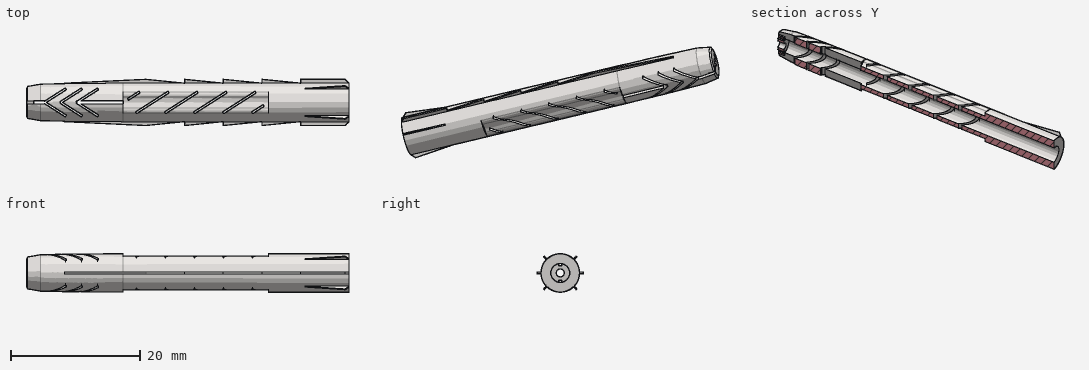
import cadquery as cq
import math


LENGTH = 50.0
BODY_RADIUS = 3.0
FACE_RADIUS = 4.2 / 2
RIM_X, RIM_RADIUS = 0.2, 2.5
NOSE_X, NOSE_RADIUS = 2.2, 2.85
FRONT_X = 15.0

PILOT_RADIUS = 1.2 / 2
BORE_X, BORE_RADIUS = 1.15, 1.45

RECESS_START, RECESS_END = FRONT_X, 37.5
GROOVE_RADIUS = 1.95
LIP_RADIUS = 0.8
RECESS_HALF_WIDTH = 1.6

CUT_WIDTH = 0.3
CUT_ANGLE = 32.5
SLOT_WIDTH = 0.45
SLOT_FLOOR = 1.9
WINDOW_FLOOR = 1.15
FACE_NOTCH_DEPTH = 0.1
CHEVRON_TIPS = (2.8, 5.3, 7.8)
CHEVRON_HALF_SPAN = 2.1
DIAGONAL_PITCH = 4.5
DIAGONAL_HALF_SPAN = 1.6
FULL_DIAGONALS = 4
DIAGONAL_END_GAP = 0.75

FIN_RADIUS = 3.6
FIN_THICKNESS = 0.3
FIN_ROOT = 2.5
FIN_START = 5.9
TOOTH_PITCH = 6.0
TOOTH_COUNT = 4
LAST_TOOTH_END = 42.5
FIN_CHAMFER = FIN_RADIUS - BODY_RADIUS
CORNER_FIN_START = 43.15
CORNER_FIN_THICKNESS = 0.2
CORNER_FIN_ANGLES = (45, 135, 225, 315)

CLEARANCE = 0.5
THROUGH_HEIGHT = 2 * (BODY_RADIUS + CLEARANCE)


def revolve_about_x(profile):
    return profile.close().revolve(360, (0, 0, 0), (1, 0, 0))


def make_body():
    """Solid plug whose rounded front blends into a plain cylinder."""
    profile = (
        cq.Workplane("XY")
        .lineTo(0, FACE_RADIUS)
        .lineTo(RIM_X, RIM_RADIUS)
        .lineTo(NOSE_X, NOSE_RADIUS)
    )
    run = FRONT_X - NOSE_X
    rise = BODY_RADIUS - NOSE_RADIUS
    radius = (run**2 + rise**2) / (2 * rise)
    middle_rise = radius - math.sqrt(radius**2 - (run / 2) ** 2)
    profile = (
        profile.threePointArc((FRONT_X - run / 2, BODY_RADIUS - middle_rise), (FRONT_X, BODY_RADIUS))
        .lineTo(LENGTH, BODY_RADIUS)
        .lineTo(LENGTH, 0)
    )
    return revolve_about_x(profile)


def make_bore():
    """Pilot hole and wider screw bore as one stepped tool."""
    profile = (
        cq.Workplane("XY")
        .lineTo(0, PILOT_RADIUS)
        .lineTo(BORE_X, PILOT_RADIUS)
        .lineTo(BORE_X, BORE_RADIUS)
        .lineTo(LENGTH, BORE_RADIUS)
        .lineTo(LENGTH, 0)
    )
    return revolve_about_x(profile)


def make_recess():
    """Top cutter: a concave groove between two rounded lips, all arcs tangent."""
    edge_angle = math.asin(RECESS_HALF_WIDTH / BODY_RADIUS)
    edge_z = BODY_RADIUS * math.cos(edge_angle)
    lip_y = (BODY_RADIUS - LIP_RADIUS) * math.sin(edge_angle)
    lip_z = (BODY_RADIUS - LIP_RADIUS) * math.cos(edge_angle)
    reach = LIP_RADIUS + GROOVE_RADIUS
    lean = math.asin(lip_y / reach)
    groove_z = lip_z + reach * math.cos(lean)
    seam_y = GROOVE_RADIUS * math.sin(lean)
    seam_z = groove_z - GROOVE_RADIUS * math.cos(lean)
    lip_top = lip_z + LIP_RADIUS
    return (
        cq.Workplane("YZ", origin=(RECESS_START, 0, 0))
        .moveTo(-RECESS_HALF_WIDTH, edge_z)
        .threePointArc((-lip_y, lip_top), (-seam_y, seam_z))
        .threePointArc((0, groove_z - GROOVE_RADIUS), (seam_y, seam_z))
        .threePointArc((lip_y, lip_top), (RECESS_HALF_WIDTH, edge_z))
        .lineTo(RECESS_HALF_WIDTH, BODY_RADIUS + CLEARANCE)
        .lineTo(-RECESS_HALF_WIDTH, BODY_RADIUS + CLEARANCE)
        .close()
        .extrude(RECESS_END - RECESS_START)
    )


def slanted_cut(crossing_x, start_y, end_y, direction=1):
    """Narrow cut whose middle line crosses Y = 0 at crossing_x."""
    angle = math.radians(CUT_ANGLE)
    middle_y = (start_y + end_y) / 2
    length = abs(end_y - start_y) / math.sin(angle)
    return (
        cq.Workplane("XY")
        .box(length, CUT_WIDTH, THROUGH_HEIGHT)
        .rotate((0, 0, 0), (0, 0, 1), direction * CUT_ANGLE)
        .translate((crossing_x + direction * middle_y / math.tan(angle), middle_y, 0))
    )


def cut_chevrons(body):
    for tip_x in CHEVRON_TIPS:
        body = body.cut(slanted_cut(tip_x, 0, CHEVRON_HALF_SPAN))
        body = body.cut(slanted_cut(tip_x, -CHEVRON_HALF_SPAN, 0, -1))
    return body


def cut_diagonals(body):
    """Full diagonals along the recess, with a shortened one at each end."""
    middle_x = (RECESS_START + RECESS_END) / 2
    first_x = middle_x - DIAGONAL_PITCH * (FULL_DIAGONALS - 1) / 2
    for i in range(FULL_DIAGONALS):
        crossing_x = first_x + i * DIAGONAL_PITCH
        body = body.cut(slanted_cut(crossing_x, -DIAGONAL_HALF_SPAN, DIAGONAL_HALF_SPAN))
    short_x = first_x - DIAGONAL_PITCH
    short_start = (RECESS_START + DIAGONAL_END_GAP - short_x) * math.tan(math.radians(CUT_ANGLE))
    short = slanted_cut(short_x, short_start, DIAGONAL_HALF_SPAN)
    return body.cut(short).cut(short.rotate((middle_x, 0, 0), (middle_x, 0, 1), 180))


def straight_cut(start_x, end_x, bottom_z, top_z):
    """Slot-wide box along X, centred on Y = 0."""
    return (
        cq.Workplane("XY")
        .box(end_x - start_x, SLOT_WIDTH, top_z - bottom_z, centered=(False, True, False))
        .translate((start_x, 0, bottom_z))
    )


def cut_straight_slots(body):
    """Slots before the first chevron and behind the last, with windows beside the pilot.

    A shallow notch in the nose face joins each window to its rim slot.
    """
    top_z = BODY_RADIUS + CLEARANCE
    rim_slot = straight_cut(0, BORE_X, SLOT_FLOOR, top_z)
    window = straight_cut(0, BORE_X, WINDOW_FLOOR, BORE_RADIUS)
    notch = straight_cut(0, FACE_NOTCH_DEPTH, WINDOW_FLOOR, SLOT_FLOOR)
    for tool in (rim_slot, window, notch):
        body = body.cut(tool).cut(tool.mirror("XY"))
    body = body.cut(straight_cut(BORE_X, CHEVRON_TIPS[0], -top_z, top_z))
    return body.cut(straight_cut(CHEVRON_TIPS[-1], RECESS_START, -top_z, top_z))


def fin_plate(outline, thickness):
    """Plate standing on the +Y side of the body, from an X, radius outline."""
    return cq.Workplane("XY").polyline(outline).close().extrude(thickness / 2, both=True)


def make_side_fin():
    """Long fin with a rising front, sawteeth and a chamfered rear end."""
    outline = [(FIN_START, FIN_ROOT), (FIN_START, BODY_RADIUS)]
    first_tooth = LAST_TOOTH_END - TOOTH_COUNT * TOOTH_PITCH
    for i in range(TOOTH_COUNT):
        crest_x = first_tooth + i * TOOTH_PITCH
        outline += [(crest_x, FIN_RADIUS), (crest_x + TOOTH_PITCH, BODY_RADIUS)]
    outline += [
        (LAST_TOOTH_END, FIN_RADIUS),
        (LENGTH - FIN_CHAMFER, FIN_RADIUS),
        (LENGTH, BODY_RADIUS),
        (LENGTH, FIN_ROOT),
    ]
    return fin_plate(outline, FIN_THICKNESS)


def make_corner_fin():
    """Short fin that rises toward the mouth."""
    outline = [
        (CORNER_FIN_START, FIN_ROOT),
        (CORNER_FIN_START, BODY_RADIUS),
        (LENGTH - FIN_CHAMFER, FIN_RADIUS),
        (LENGTH, BODY_RADIUS),
        (LENGTH, FIN_ROOT),
    ]
    return fin_plate(outline, CORNER_FIN_THICKNESS)


def add_fins(body):
    side_fin = make_side_fin()
    body = body.union(side_fin).union(side_fin.mirror("XZ"))
    corner_fin = make_corner_fin()
    for angle in CORNER_FIN_ANGLES:
        body = body.union(corner_fin.rotate((0, 0, 0), (1, 0, 0), angle))
    return body


recess = make_recess()
plug = make_body().cut(recess).cut(recess.mirror("XY")).cut(make_bore())
plug = cut_chevrons(plug)
plug = cut_diagonals(plug)
plug = cut_straight_slots(plug)
result = add_fins(plug)